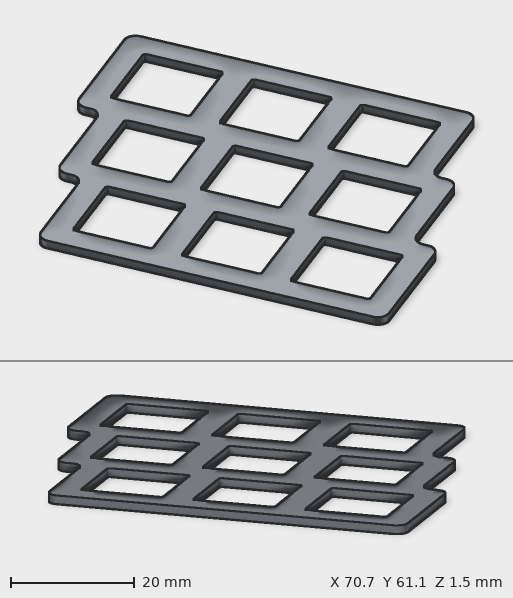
import cadquery as cq

length = 70.7
width = 61.1
thickness = 1.5
corner_radius = 2.0

grid_steps = (-1, 0, 1)
pitch = 19.1
window = 14.0
window_radius = 0.5
row_shift = pitch / 4
step_overlap = 1.7

row_length = length - 2 * row_shift


def row_center(row):
    """Center of a window row; row -1 is the top one, 0 the middle, 1 the bottom."""
    return row * row_shift, -row * pitch


half_row = row_length / 2
half_width = width / 2
upper_step = pitch / 2
lower_step = -pitch / 2

outline = [
    (-half_row - row_shift, half_width),
    (half_row - row_shift, half_width),
    (half_row - row_shift, upper_step + step_overlap),
    (half_row, upper_step + step_overlap),
    (half_row, lower_step + step_overlap),
    (half_row + row_shift, lower_step + step_overlap),
    (half_row + row_shift, -half_width),
    (-half_row + row_shift, -half_width),
    (-half_row + row_shift, lower_step - step_overlap),
    (-half_row, lower_step - step_overlap),
    (-half_row, upper_step - step_overlap),
    (-half_row - row_shift, upper_step - step_overlap),
]
plate = cq.Workplane("XY").polyline(outline).close().extrude(thickness)
plate = plate.edges("|Z").fillet(corner_radius)

centers = []
for row in grid_steps:
    row_x, row_y = row_center(row)
    for column in grid_steps:
        centers.append((row_x + column * pitch, row_y))

windows = (
    cq.Workplane("XY")
    .pushPoints(centers)
    .rect(window, window)
    .extrude(thickness)
    .edges("|Z")
    .fillet(window_radius)
)

result = plate.cut(windows)